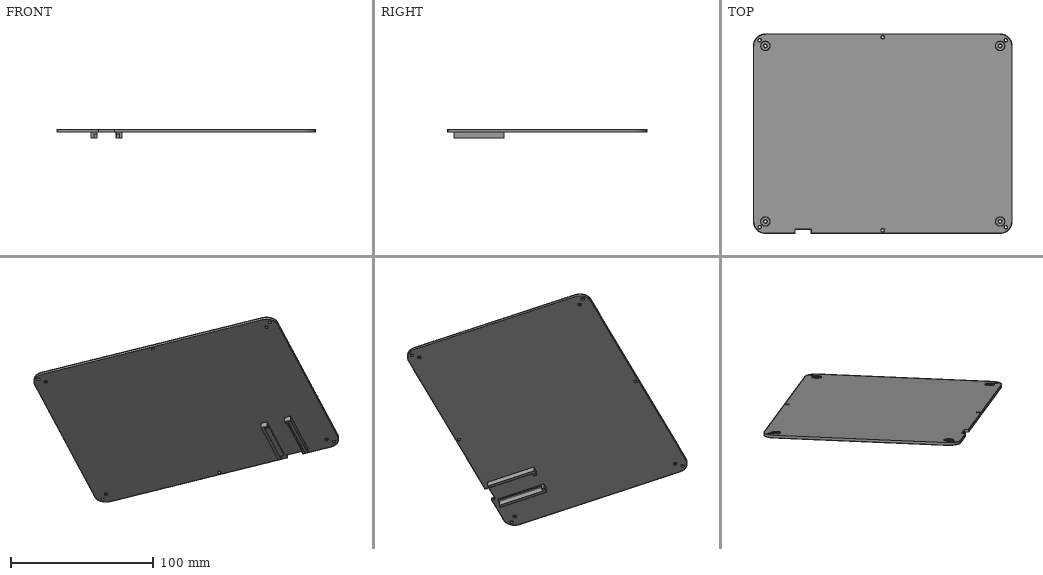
import cadquery as cq

length = 182.0
width = 140.3
thickness = 2.0
corner_radius = 8.4

screw_hole_diameter = 2.4
hole_diameter = 2.2
recess_diameter = 6.5
recess_depth = 0.5
screw_inset = corner_radius
corner_pin_inset = 4.4
edge_hole_inset = 2.2

notch_width = 11.3
notch_depth = 2.7
notch_center_x = -56.0

total_height = 6.2
rail_height = total_height - thickness
rail_width = 4.4
rail_length = 35.5
rail_front_inset = 4.4
rail_spacing = 17.7

step_width = 2.4
step_height = 3.0
step_end_wall = 1.8
step_corner_diameter = 0.84


def corner_points(inset):
    """Four points set in by the same distance from both edges of each corner."""
    x = length / 2 - inset
    y = width / 2 - inset
    return [(-x, -y), (x, -y), (-x, y), (x, y)]


def make_plate():
    plate = cq.Workplane("XY").box(length, width, thickness, centered=(True, True, False))
    return plate.edges("|Z").fillet(corner_radius)


def drill_holes(plate):
    edge_hole_y = width / 2 - edge_hole_inset
    edge_points = [(0, -edge_hole_y), (0, edge_hole_y)]
    top = plate.faces(">Z").workplane(origin=(0, 0, thickness))
    screw_positions = top.pushPoints(corner_points(screw_inset))
    plate = screw_positions.cboreHole(screw_hole_diameter, recess_diameter, recess_depth)
    top = plate.faces(">Z").workplane(origin=(0, 0, thickness))
    return top.pushPoints(corner_points(corner_pin_inset) + edge_points).hole(hole_diameter)


def cut_notch(plate):
    notch = cq.Workplane("XY").box(notch_width, 2 * notch_depth, thickness, centered=(True, True, False))
    return plate.cut(notch.translate((notch_center_x, -width / 2, 0)))


def make_right_rail():
    """Rail on the +X side of the notch, placed relative to the notch centre line."""
    inner_x = (rail_spacing - rail_width) / 2
    front_y = -width / 2 + rail_front_inset
    rail = cq.Workplane("XY").box(rail_width, rail_length, rail_height, centered=False)
    step_length = rail_length - step_end_wall
    step = cq.Workplane("XY").box(step_width, step_length, step_height, centered=False)
    step = step.edges("|Y and >X and >Z").fillet(step_corner_diameter / 2)
    return rail.cut(step).translate((inner_x, front_y, -rail_height))


result = cut_notch(drill_holes(make_plate()))
right_rail = make_right_rail()
for rail in (right_rail, right_rail.mirror("YZ")):
    result = result.union(rail.translate((notch_center_x, 0, 0)))